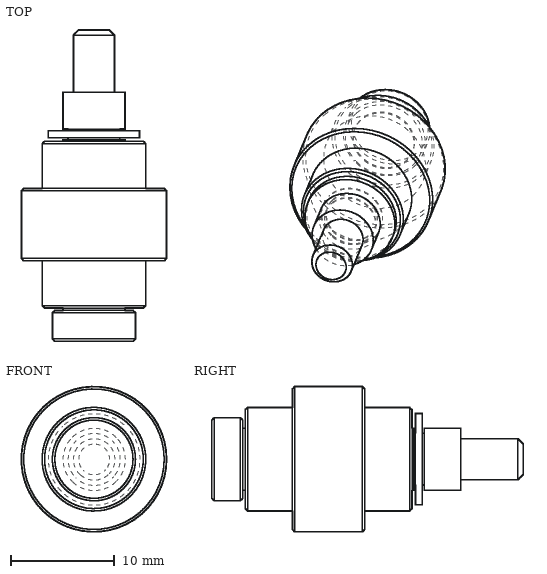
import cadquery as cq

total_length = 30.0

head_dia = 8.0
neck_dia = 6.0
body_dia = 10.0
flange_dia = 14.0
shoulder_dia = 6.0
groove_dia = 5.0
clip_dia = 8.82
tip_dia = 4.0

head_length = 3.0
neck_length = 0.2
body_length = 16.08
collar_length = 0.15
groove_length = 1.02
shoulder_length = 3.55
flange_length = 7.0
clip_thickness = 0.7

edge_chamfer = 0.25
tip_chamfer = 0.5

body_start = head_length + neck_length
flange_start = body_start + (body_length - flange_length) / 2
collar_start = body_start + body_length
groove_start = collar_start + collar_length
clip_start = groove_start + (groove_length - clip_thickness) / 2
shoulder_start = groove_start + groove_length
tip_start = shoulder_start + shoulder_length
tip_length = total_length - tip_start


def cylinder(diameter, start, length):
    """Cylinder on the Y axis running from start toward +Y."""
    plane = cq.Plane(origin=(0, start, 0), xDir=(1, 0, 0), normal=(0, 1, 0))
    return cq.Workplane(plane).circle(diameter / 2).extrude(length)


def chamfered_cylinder(diameter, start, length):
    """Cylinder with both end edges broken."""
    return cylinder(diameter, start, length).edges().chamfer(edge_chamfer)


head = chamfered_cylinder(head_dia, 0, head_length)
neck = cylinder(neck_dia, head_length, neck_length)
body = chamfered_cylinder(body_dia, body_start, body_length)
flange = chamfered_cylinder(flange_dia, flange_start, flange_length)
collar = cylinder(shoulder_dia, collar_start, collar_length)

groove_core = cylinder(groove_dia, groove_start, groove_length)
clip = cylinder(clip_dia, clip_start, clip_thickness)

shoulder = cylinder(shoulder_dia, shoulder_start, shoulder_length)
tip = cylinder(tip_dia, tip_start, tip_length).faces(">Y").edges().chamfer(tip_chamfer)

result = head
for section in (neck, body, flange, collar, groove_core, clip, shoulder, tip):
    result = result.union(section)